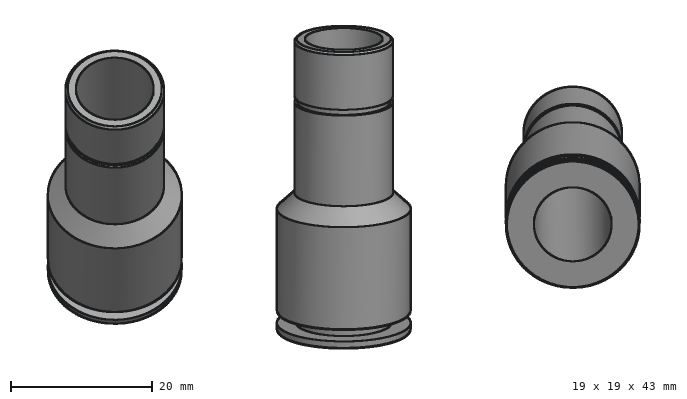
import cadquery as cq

total_height = 43.0
flange_height = 1.1
body_bottom = 2.75
body_top = 17.97
stem_bottom = 20.35
groove_bottom = 33.7
groove_width = 0.85

body_diameter = 19.0
neck_diameter = 13.5
stem_diameter = 14.0
groove_diameter = 13.2
bore_diameter = 11.0

stem_chamfer = 0.35
rim_chamfer = 0.17


def cylinder(diameter, bottom, top):
    """Solid cylinder on the Z axis between two heights."""
    return cq.Workplane("XY").workplane(offset=bottom).circle(diameter / 2).extrude(top - bottom)


def make_flange():
    """Release collar flange with a broken bottom edge."""
    return cylinder(body_diameter, 0, flange_height).faces("<Z").chamfer(rim_chamfer)


def make_body():
    """Main body with a conical shoulder up to the stem."""
    shoulder_height = stem_bottom - body_top
    shoulder_width = (body_diameter - stem_diameter) / 2
    body = cylinder(body_diameter, body_bottom, stem_bottom)
    body = body.faces(">Z").chamfer(shoulder_height, shoulder_width)
    return body.faces("<Z").chamfer(rim_chamfer)


def make_stem():
    """Plug-in stem with a chamfered tip and a shallow groove."""
    stem = cylinder(stem_diameter, stem_bottom, total_height).faces(">Z").chamfer(stem_chamfer)
    groove_top = groove_bottom + groove_width
    groove = cylinder(stem_diameter, groove_bottom, groove_top).cut(
        cylinder(groove_diameter, groove_bottom, groove_top)
    )
    return stem.cut(groove)


neck = cylinder(neck_diameter, flange_height, body_bottom)
bore = cylinder(bore_diameter, 0, total_height)

result = make_flange().union(neck).union(make_body()).union(make_stem()).cut(bore)